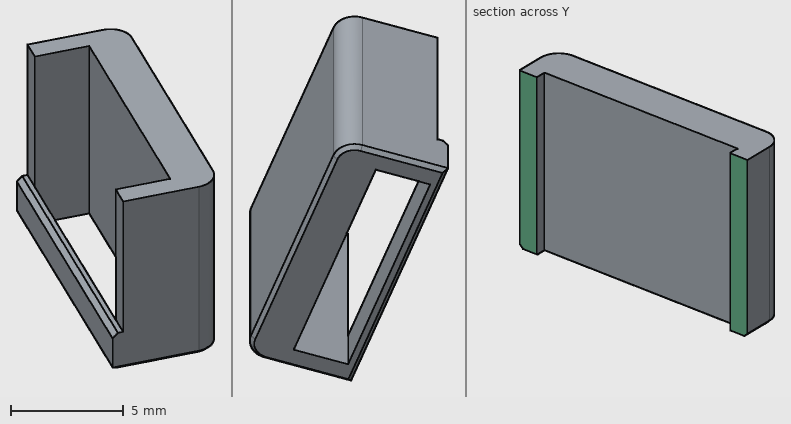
import cadquery as cq

width = 13.0
depth = 5.05
height = 9.0
side_wall = 1.0
back_wall = 2 * side_wall
corner_radius = side_wall
bar_thickness = 0.5
bar_height = 2.0
bar_chamfer = 0.25
bottom_chamfer = 0.2

pocket_width = width - 2 * side_wall
pocket_depth = depth - back_wall - bar_thickness


def centred_block(size_x, size_y, size_z, front_y):
    """Block centred on X, standing on Z = 0, starting at front_y."""
    block = cq.Workplane("XY").box(size_x, size_y, size_z, centered=(True, False, False))
    return block.translate((0, front_y, 0))


body = centred_block(width, depth, height, 0)
body = body.edges("|Z and >Y").fillet(corner_radius)
body = body.faces("<Z").edges().chamfer(bottom_chamfer)

step_profile = [
    (0, bar_height - bar_chamfer),
    (bar_chamfer, bar_height),
    (bar_thickness, bar_height),
    (bar_thickness, height),
    (0, height),
]
step = cq.Workplane("YZ").polyline(step_profile).close().extrude(width / 2, both=True)

opening = centred_block(pocket_width, pocket_depth, height, bar_thickness)

result = body.cut(step).cut(opening)